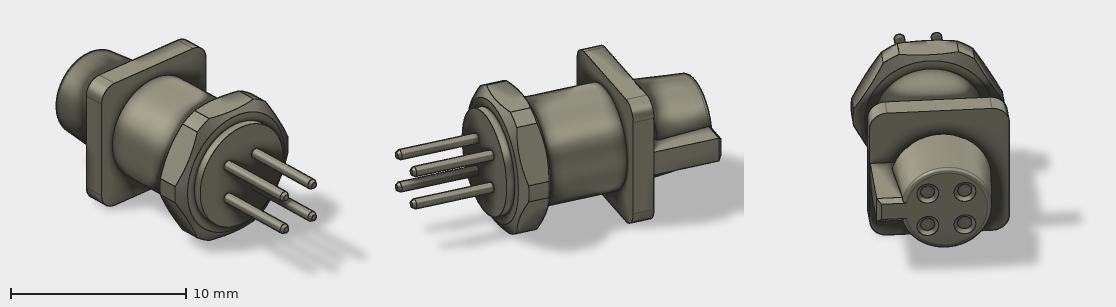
import cadquery as cq
import math


flange_side = 8.0
flange_corner_radius = 1.0
flange_front_x = 4.3
flange_thickness = 1.3
flange_back_x = flange_front_x + flange_thickness

plug_front_diameter = 5.16
plug_length = 3.77
plug_taper_deg = 5.0
plug_front_fillet = 0.25
plug_back_chamfer_length = 0.22
neck_diameter = 5.0

key_width = 1.5
key_top_y = 3.97
key_chamfer = 0.25

contact_circle_diameter = 3.0
contact_count = 4
first_contact_angle_deg = 45.0
socket_mouth_diameter = 1.24
socket_floor_diameter = 0.8
socket_depth = 0.2
pin_diameter = 0.6
pin_length = 5.0
pin_tip_length = 0.2
pin_tip_diameter = 0.36

barrel_diameter = 6.35
barrel_back_x = 13.1

nut_side_count = 6
nut_across_flats = 8.0
nut_corner_diameter = 8.69
nut_face_diameter = 7.4
nut_thickness = 2.0
nut_chamfer_deg = 30.0
nut_gap_to_barrel_end = 0.5
nut_front_x = barrel_back_x - nut_gap_to_barrel_end - nut_thickness


def cylinder(diameter, start_x, end_x):
    """Cylinder along +X, centred on the axis."""
    return cq.Workplane("YZ", origin=(start_x, 0, 0)).circle(diameter / 2).extrude(end_x - start_x)


def revolved(profile):
    """Solid of revolution about X from an open (x, radius) profile that starts and ends on the axis."""
    return cq.Workplane("XY").polyline(profile).close().revolve(360, (0, 0, 0), (1, 0, 0))


def contact_centres():
    """(y, z) places of the contacts on their circle."""
    radius = contact_circle_diameter / 2
    step_deg = 360 / contact_count
    angles = [math.radians(first_contact_angle_deg + i * step_deg) for i in range(contact_count)]
    return [(radius * math.cos(angle), radius * math.sin(angle)) for angle in angles]


def make_plug():
    front_radius = plug_front_diameter / 2
    taper_end_x = plug_length - plug_back_chamfer_length
    taper_end_radius = front_radius + taper_end_x * math.tan(math.radians(plug_taper_deg))
    plug = revolved([
        (0, 0),
        (0, front_radius),
        (taper_end_x, taper_end_radius),
        (plug_length, neck_diameter / 2),
        (plug_length, 0),
    ])
    return plug.faces("<X").edges().fillet(plug_front_fillet)


def make_key():
    key = cq.Workplane("XY").box(flange_front_x, key_top_y, key_width, centered=(False, False, True))
    front_edges = key.faces("<X").edges("|Y or (>Y)")
    return front_edges.chamfer(key_chamfer)


def make_flange():
    flange = cq.Workplane("YZ", origin=(flange_front_x, 0, 0)).rect(flange_side, flange_side)
    return flange.extrude(flange_thickness).edges("|X").fillet(flange_corner_radius)


def make_socket():
    """Conical recess with a flat floor, to be cut from the plug face."""
    mouth_radius = socket_mouth_diameter / 2
    floor_radius = socket_floor_diameter / 2
    return revolved([(0, 0), (0, mouth_radius), (socket_depth, floor_radius), (socket_depth, 0)])


def make_pin():
    """Straight pin with a tapered tip, starting at the rear face of the barrel."""
    tip_x = barrel_back_x + pin_length
    taper_x = tip_x - pin_tip_length
    pin_radius = pin_diameter / 2
    return revolved([
        (barrel_back_x, 0),
        (barrel_back_x, pin_radius),
        (taper_x, pin_radius),
        (tip_x, pin_tip_diameter / 2),
        (tip_x, 0),
    ])


def make_connector():
    connector = make_plug().union(make_key())
    connector = connector.union(cylinder(neck_diameter, plug_length, flange_front_x))
    connector = connector.union(make_flange())
    connector = connector.union(cylinder(barrel_diameter, flange_back_x, barrel_back_x))
    for y, z in contact_centres():
        connector = connector.cut(make_socket().translate((0, y, z)))
        connector = connector.union(make_pin().translate((0, y, z)))
    return connector


def make_nut():
    face_radius = nut_face_diameter / 2
    corner_radius = nut_corner_diameter / 2
    chamfer_length = (corner_radius - face_radius) * math.tan(math.radians(nut_chamfer_deg))
    nut_back_x = nut_front_x + nut_thickness
    blank = revolved([
        (nut_front_x, 0),
        (nut_front_x, face_radius),
        (nut_front_x + chamfer_length, corner_radius),
        (nut_back_x - chamfer_length, corner_radius),
        (nut_back_x, face_radius),
        (nut_back_x, 0),
    ])
    across_corners = nut_across_flats / math.cos(math.pi / nut_side_count)
    hexagon = cq.Workplane("YZ", origin=(nut_front_x, 0, 0)).polygon(nut_side_count, across_corners)
    hexagon = hexagon.extrude(nut_thickness)
    return blank.intersect(hexagon).cut(cylinder(barrel_diameter, nut_front_x, nut_back_x))


connector = make_connector()
nut = make_nut()

result = cq.Compound.makeCompound([connector.val(), nut.val()])